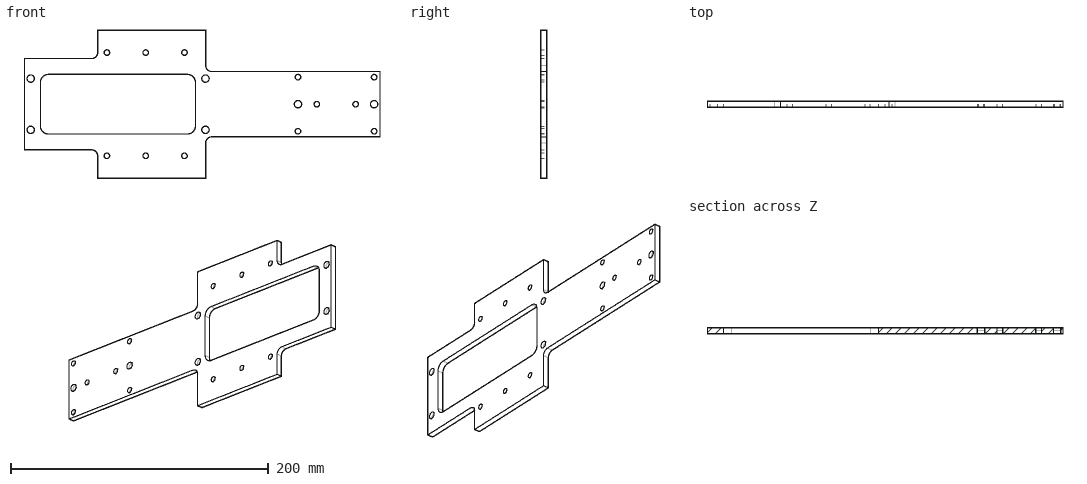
import cadquery as cq

length = 276.0
height = 115.0
thickness = 5.0

left_edge = -length / 2
right_edge = length / 2
left_block_height = 71.0
arm_height = 50.8
wing_start = left_edge + 56.9
wing_length = 84.0
wing_end = wing_start + wing_length
inner_corner_radius = 4.7

window_length = 120.0
window_height = 46.0
window_center = left_edge + 72.5
window_corner_radius = 6.0

large_diameter = 5.5
small_diameter = 4.1
frame_hole_start = left_edge + 5.0
frame_hole_spacing = 135.5
frame_hole_offset = 20.0
wing_hole_start = left_edge + 64.0
wing_hole_pitch = 30.0
wing_hole_offset = 40.0
arm_hole_end = right_edge - 4.7
arm_hole_spacing = 59.0
arm_hole_start = arm_hole_end - arm_hole_spacing
arm_hole_offset = 21.0
arm_inner_start = arm_hole_start + 14.5
arm_inner_spacing = wing_hole_pitch


def plate_section(x_start, x_end, section_height):
    """Plate rectangle between two X positions, centred on Z = 0."""
    section_length = x_end - x_start
    box = cq.Workplane("XY").box(section_length, thickness, section_height)
    return box.translate(((x_start + x_end) / 2, 0, 0))


def make_plate():
    """Left block, wings and arm, with the inside step corners rounded."""
    plate = plate_section(left_edge, wing_end, left_block_height)
    plate = plate.union(plate_section(wing_start, wing_end, height))
    plate = plate.union(plate_section(wing_start, right_edge, arm_height))
    for x, step_height in ((wing_start, left_block_height), (wing_end, arm_height)):
        for side in (-1, 1):
            corner = (x, 0, side * step_height / 2)
            plate = plate.edges(cq.selectors.NearestToPointSelector(corner)).fillet(inner_corner_radius)
    return plate


def make_window():
    """Cutter for the window with rounded corners."""
    window = cq.Workplane("XY").box(window_length, 2 * thickness, window_height)
    return window.edges("|Y").fillet(window_corner_radius).translate((window_center, 0, 0))


def make_holes(points, diameter):
    """Cutters for round through holes at (X, Z) points."""
    plane = cq.Workplane("XZ").pushPoints(points)
    return plane.circle(diameter / 2).extrude(thickness, both=True)


frame_points = [
    (frame_hole_start + column * frame_hole_spacing, side * frame_hole_offset)
    for column in range(2)
    for side in (-1, 1)
]
wing_points = [
    (wing_hole_start + column * wing_hole_pitch, side * wing_hole_offset)
    for column in range(3)
    for side in (-1, 1)
]
arm_edge_points = [
    (x, side * arm_hole_offset)
    for x in (arm_hole_start, arm_hole_end)
    for side in (-1, 1)
]
arm_center_points = [(arm_hole_start, 0), (arm_hole_end, 0)]
arm_inner_points = [(arm_inner_start, 0), (arm_inner_start + arm_inner_spacing, 0)]

result = (
    make_plate()
    .cut(make_window())
    .cut(make_holes(frame_points + arm_center_points, large_diameter))
    .cut(make_holes(wing_points + arm_edge_points + arm_inner_points, small_diameter))
)